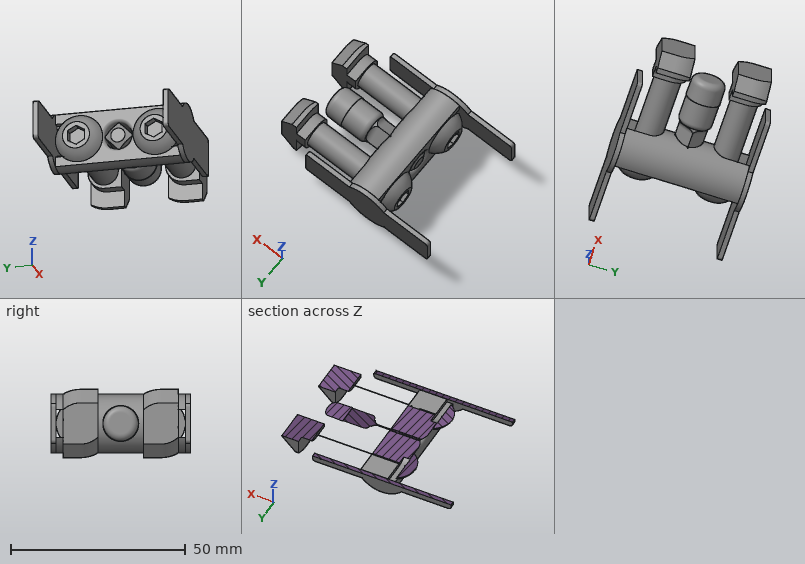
import cadquery as cq
import math


plate_half_length = 22.3
plate_half_height = 5.7
plate_thickness = 1.5
plate_corner_radius = 1.0
overall_length = 56.27
overall_width = 40.0
plate_inner_y = overall_width / 2 - plate_thickness

bar_radius = 8.5
bar_flat_x = -3.2

bolt_offset = 11.5
shank_radius = 4.0
head_face_radius = 4.0
head_base_radius = 7.0
head_height = 3.35
socket_across_flats = 5.0
socket_depth = 2.5
neck_start_x = 25.3
hammer_start_x = 28.5
hammer_end_x = overall_length - plate_half_length
hammer_width = 10.0
hammer_height = 19.6
hammer_chamfer = 3.9

slot_recess_half_height = 5.0
slot_recess_depth = 2.0

pin_front_x = bar_flat_x
pin_square = 6.0
pin_end_radius = 2.1
pin_end_cone_length = 1.2
pin_body_radius = 5.0
flare_radius = 1.8
body_start_x = 13.25
body_full_x = 14.6
tip_start_x = 21.3
tip_end_x = 27.87
tip_start_radius = 5.15
tip_rounding = 1.9
pin_corner_radius = pin_square / math.sqrt(2)

pin_hole_radius = 4.0
pin_hole_rounding = 1.0

cut_reach = 30.0


def rod(radius, start_x, end_x):
    """Cylinder on the X axis."""
    return cq.Workplane("YZ", origin=(start_x, 0, 0)).circle(radius).extrude(end_x - start_x)


def make_plate(inner_y):
    """Side plate with a round bulge that matches the bar."""
    workplane = cq.Workplane("XZ", origin=(0, inner_y + plate_thickness, 0))
    strip = (
        workplane.rect(2 * plate_half_length, 2 * plate_half_height)
        .extrude(plate_thickness)
        .edges("|Y")
        .fillet(plate_corner_radius)
    )
    return strip.union(workplane.circle(bar_radius).extrude(plate_thickness))


def slot_cutter(half_height, start_x, end_x, side):
    """Slot with a round end at the bolt axis, open towards the plate on the given side."""
    bolt_y = side * bolt_offset
    round_end = rod(half_height, start_x, end_x).translate((0, bolt_y, 0))
    opening = cq.Workplane("XY").box(
        end_x - start_x, plate_inner_y - bolt_offset, 2 * half_height
    )
    opening_y = side * (bolt_offset + plate_inner_y) / 2
    return round_end.union(opening.translate(((start_x + end_x) / 2, opening_y, 0)))


def make_bar():
    """Bar between the plates with a pin hole and two stepped bolt slots."""
    length = 2 * plate_inner_y
    rod_blank = cq.Workplane("XZ").circle(bar_radius).extrude(length / 2, both=True)
    front_cut = cq.Workplane("XY").box(cut_reach, length, cut_reach)
    bar = rod_blank.cut(front_cut.translate((bar_flat_x - cut_reach / 2, 0, 0)))
    bar = bar.cut(rod(pin_hole_radius, bar_flat_x, cut_reach))
    bar = bar.faces("<X").edges("%CIRCLE").fillet(pin_hole_rounding)
    recess_end_x = bar_flat_x + slot_recess_depth
    for side in (-1, 1):
        bar = bar.cut(slot_cutter(slot_recess_half_height, bar_flat_x, recess_end_x, side))
        bar = bar.cut(slot_cutter(shank_radius, bar_flat_x, cut_reach, side))
    return bar


def quarter_turn_block(half_width, half_height, start_x, end_x):
    """Block whose +Z/-Y and -Z/+Y quarters are rounded about the X axis."""
    corner_z = math.sqrt(half_height**2 - half_width**2)
    mid_angle = (math.pi / 2 + math.atan2(corner_z, half_width)) / 2
    mid_y = half_height * math.cos(mid_angle)
    mid_z = half_height * math.sin(mid_angle)
    outline = (
        cq.Workplane("YZ", origin=(start_x, 0, 0))
        .moveTo(half_width, half_height)
        .lineTo(0, half_height)
        .threePointArc((-mid_y, mid_z), (-half_width, corner_z))
        .lineTo(-half_width, -half_height)
        .lineTo(0, -half_height)
        .threePointArc((mid_y, -mid_z), (half_width, -corner_z))
        .close()
    )
    return outline.extrude(end_x - start_x)


def hammer_chamfer_cutter():
    """45 degree cut of the upper hammer end, rounded on its -Y half."""
    radius = hammer_height / 2
    half_width = hammer_width / 2
    edge_drop = radius - math.sqrt(radius**2 - half_width**2)
    mid_angle = math.asin(half_width / radius) / 2
    mid_drop = radius * (1 - math.cos(mid_angle))
    slope = cq.Plane(
        origin=(hammer_end_x, 0, radius - hammer_chamfer), xDir=(0, -1, 0), normal=(-1, 0, 1)
    )
    return (
        cq.Workplane(slope)
        .moveTo(-half_width, 0)
        .lineTo(0, 0)
        .threePointArc((radius * math.sin(mid_angle), -mid_drop), (half_width, -edge_drop))
        .lineTo(half_width, radius)
        .lineTo(-half_width, radius)
        .close()
        .extrude(cut_reach / 2, both=True)
    )


def make_bolt(bolt_y):
    """Button-head bolt with a quarter-turn hammer end."""
    head_top_x = bar_flat_x - head_height
    dome_depth = (head_base_radius**2 - head_face_radius**2 + head_height**2) / (2 * head_height)
    dome_radius = math.hypot(dome_depth, head_face_radius)
    dome = cq.Workplane("XY").sphere(dome_radius).translate((head_top_x + dome_depth, 0, 0))
    head = rod(head_base_radius, head_top_x, bar_flat_x).intersect(dome)
    socket_corner_diameter = socket_across_flats / math.cos(math.pi / 6)
    socket = (
        cq.Workplane("YZ", origin=(head_top_x, 0, 0))
        .transformed(rotate=(0, 0, 30))
        .polygon(6, socket_corner_diameter)
        .extrude(socket_depth)
    )
    shank = rod(shank_radius, bar_flat_x, neck_start_x)
    neck = quarter_turn_block(hammer_width / 2, hammer_width / 2, neck_start_x, hammer_start_x)
    hammer = quarter_turn_block(hammer_width / 2, hammer_height / 2, hammer_start_x, hammer_end_x)
    upper_cut = hammer_chamfer_cutter()
    lower_cut = upper_cut.rotate((0, 0, 0), (1, 0, 0), 180)
    hammer = hammer.cut(upper_cut).cut(lower_cut)
    bolt = head.cut(socket).union(shank).union(neck).union(hammer)
    return bolt.translate((0, bolt_y, 0))


def turned(start_x, start_radius, end_x, end_radius):
    """Cone frustum on the X axis."""
    return (
        cq.Workplane("XY")
        .moveTo(start_x, 0)
        .lineTo(start_x, start_radius)
        .lineTo(end_x, end_radius)
        .lineTo(end_x, 0)
        .close()
        .revolve(360, (0, 0, 0), (1, 0, 0))
    )


def make_pin_shank():
    """Square shank, set on edge, with a shallow conical front end."""
    cone_end_x = pin_front_x + pin_end_cone_length
    envelope = turned(pin_front_x, pin_end_radius, cone_end_x, pin_corner_radius).union(
        rod(pin_corner_radius, cone_end_x, body_start_x)
    )
    square = cq.Workplane("XY").box(body_start_x - pin_front_x, pin_square, pin_square)
    square = square.translate(((body_start_x + pin_front_x) / 2, 0, 0))
    return square.rotate((0, 0, 0), (1, 0, 0), 45).intersect(envelope)


def make_pin_flare():
    """Concave fillets from the four shank flats out to the round body."""
    flat_z = pin_square / 2
    flare_start_x = body_start_x - flare_radius
    sine = math.sin(math.pi / 4)
    fillet_strip = (
        cq.Workplane("XZ")
        .moveTo(flare_start_x, 0)
        .lineTo(flare_start_x, flat_z)
        .threePointArc(
            (flare_start_x + flare_radius * sine, flat_z + flare_radius * (1 - sine)),
            (body_start_x, flat_z + flare_radius),
        )
        .lineTo(body_start_x, 0)
        .close()
        .extrude(flat_z, both=True)
    )
    flare = fillet_strip.rotate((0, 0, 0), (1, 0, 0), 45)
    for angle in (135, 225, 315):
        flare = flare.union(fillet_strip.rotate((0, 0, 0), (1, 0, 0), angle))
    return flare.intersect(rod(pin_corner_radius, flare_start_x, body_start_x))


def make_pin():
    """Square shank that flares into a round body with a rounded shoulder."""
    shoulder_run = body_full_x - body_start_x
    shoulder_rise = pin_body_radius - pin_corner_radius
    shoulder_radius = (shoulder_run**2 + shoulder_rise**2) / (2 * shoulder_rise)
    half_angle = math.asin(shoulder_run / shoulder_radius) / 2
    shoulder_middle = (
        body_full_x - shoulder_radius * math.sin(half_angle),
        pin_body_radius - shoulder_radius * (1 - math.cos(half_angle)),
    )
    body = (
        cq.Workplane("XY")
        .moveTo(body_start_x, 0)
        .lineTo(body_start_x, pin_corner_radius)
        .threePointArc(shoulder_middle, (body_full_x, pin_body_radius))
        .lineTo(tip_start_x, pin_body_radius)
        .lineTo(tip_start_x, 0)
        .close()
        .revolve(360, (0, 0, 0), (1, 0, 0))
    )
    return make_pin_shank().union(make_pin_flare()).union(body)


def make_tip():
    """Slightly tapered round tip on the end of the pin."""
    taper = math.degrees(math.atan((tip_start_radius - pin_body_radius) / (tip_end_x - tip_start_x)))
    tip = (
        cq.Workplane("YZ", origin=(tip_start_x, 0, 0))
        .circle(tip_start_radius)
        .extrude(tip_end_x - tip_start_x, taper=taper)
    )
    return tip.faces(">X").edges().fillet(tip_rounding)


plates = [make_plate(inner_y) for inner_y in (plate_inner_y, -overall_width / 2)]
bolts = [make_bolt(side * bolt_offset) for side in (-1, 1)]
pin = make_pin()
bar = make_bar().cut(pin)
tip = make_tip()

result = cq.Compound.makeCompound(
    [
        bar.val(),
        *[plate.val() for plate in plates],
        *[bolt.val() for bolt in bolts],
        pin.val(),
        tip.val(),
    ]
)